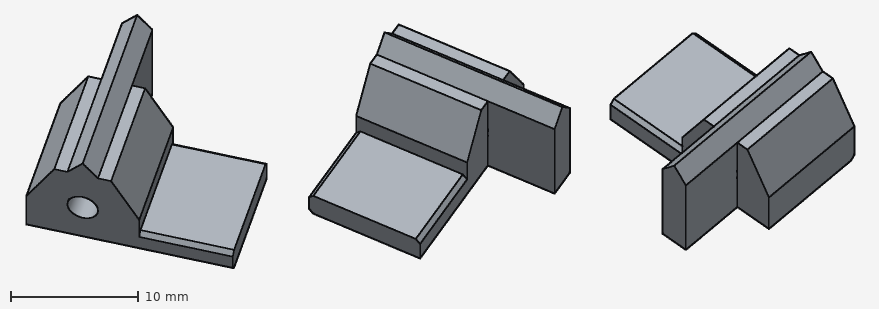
import cadquery as cq

block_width = 9.23
block_depth = 9.99
shoulder_height = 3.81
flat_height = 7.8
flat_width = 4.64
center_x = block_width / 2

rail_width = 2.5
rail_length = 16.0
peak_height = 9.2

plate_length = 16.87
plate_height = 2.16
edge_chamfer = 0.39

hole_diameter = 2.5
hole_height = 3.9
hole_depth = block_depth


def extrude_back(outline, length):
    """Extrude an XZ outline from the front face (Y = 0) toward +Y."""
    return cq.Workplane("XZ").polyline(outline).close().extrude(-length)


def make_block():
    return extrude_back(
        [
            (0, 0),
            (block_width, 0),
            (block_width, shoulder_height),
            (center_x + flat_width / 2, flat_height),
            (center_x - flat_width / 2, flat_height),
            (0, shoulder_height),
        ],
        block_depth,
    )


def make_rail():
    left = center_x - rail_width / 2
    right = center_x + rail_width / 2
    return extrude_back(
        [(left, 0), (right, 0), (right, flat_height), (center_x, peak_height), (left, flat_height)],
        rail_length,
    )


def make_plate():
    plate = cq.Workplane("XY").box(plate_length, block_depth, plate_height, centered=False)
    return plate.edges("|X and >Z").chamfer(edge_chamfer)


def make_bottom_chamfer_cutter():
    """Wedge along the full front bottom edge."""
    return (
        cq.Workplane("YZ")
        .polyline([(0, 0), (edge_chamfer, 0), (0, edge_chamfer)])
        .close()
        .extrude(plate_length)
    )


def make_hole():
    return (
        cq.Workplane("XZ")
        .center(center_x, hole_height)
        .circle(hole_diameter / 2)
        .extrude(-hole_depth)
    )


result = make_block().union(make_rail()).union(make_plate())
result = result.cut(make_bottom_chamfer_cutter()).cut(make_hole())